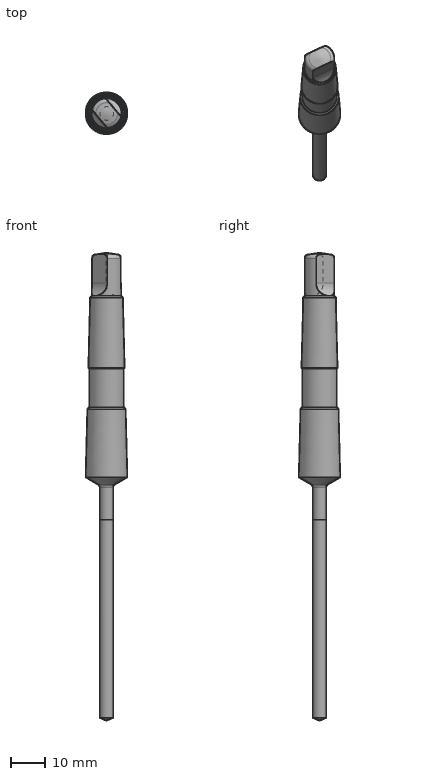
import cadquery as cq
import math

OVERALL_LENGTH = 136.53

DRILL_DIAMETER = 3.97
POINT_ANGLE = 130.0
FLUTE_LENGTH = 58.7

TAPER_RATE = 1 / 20.047
GAUGE_DIAMETER = 12.065
GAUGE_OFFSET = 3.5
SHANK_LENGTH = 65.5
RELIEF_DIAMETER = 10.1
RELIEF_TOP_DEPTH = 33.6
RELIEF_BOTTOM_DEPTH = 45.6
NECK_CONE_ANGLE = 120.0
NECK_FILLET = 1.0

TANG_DIAMETER = 8.7
TANG_LENGTH = 13.1
TANG_THICKNESS = 5.2
TANG_FLAT_LENGTH = 8.8
TANG_RUNOUT_RADIUS = 5.0
TANG_END_RADIUS = 1.2
TANG_END_RISE = 0.5
TANG_DIRECTION = 40.0

drill_radius = DRILL_DIAMETER / 2
shank_bottom = OVERALL_LENGTH - SHANK_LENGTH
tang_bottom = OVERALL_LENGTH - TANG_LENGTH


def taper_radius(z):
    gauge_plane = shank_bottom + GAUGE_OFFSET
    return (GAUGE_DIAMETER - TAPER_RATE * (z - gauge_plane)) / 2


def bevel_height(z, inner_radius):
    """Height of the 45 degree bevel stepping from the taper at z in to a smaller radius."""
    return taper_radius(z) - inner_radius


def make_drill():
    point_height = drill_radius / math.tan(math.radians(POINT_ANGLE / 2))
    outline = (
        cq.Workplane("XZ")
        .lineTo(drill_radius, point_height)
        .lineTo(drill_radius, FLUTE_LENGTH)
        .lineTo(0, FLUTE_LENGTH)
        .close()
    )
    return outline.revolve(360, (0, 0), (0, 1))


def make_shank_blank():
    relief_radius = RELIEF_DIAMETER / 2
    relief_top = OVERALL_LENGTH - RELIEF_TOP_DEPTH
    relief_bottom = OVERALL_LENGTH - RELIEF_BOTTOM_DEPTH

    large_radius = taper_radius(shank_bottom)
    half_angle = math.radians(NECK_CONE_ANGLE / 2)
    cone_foot = shank_bottom - (large_radius - drill_radius) / math.tan(half_angle)
    tangent_length = NECK_FILLET * math.tan(half_angle / 2)
    fillet_bottom = cone_foot - tangent_length
    fillet_center_radius = drill_radius + NECK_FILLET
    fillet_middle = (
        fillet_center_radius - NECK_FILLET * math.cos(half_angle / 2),
        fillet_bottom + NECK_FILLET * math.sin(half_angle / 2),
    )
    fillet_top = (
        fillet_center_radius - NECK_FILLET * math.cos(half_angle),
        fillet_bottom + NECK_FILLET * math.sin(half_angle),
    )

    tang_radius = TANG_DIAMETER / 2
    rim_top = OVERALL_LENGTH - TANG_END_RISE
    rim_bottom = rim_top - TANG_END_RADIUS
    rim_center_radius = tang_radius - TANG_END_RADIUS
    rim_middle = (
        rim_center_radius + TANG_END_RADIUS * math.cos(math.pi / 4),
        rim_bottom + TANG_END_RADIUS * math.sin(math.pi / 4),
    )

    outline = (
        cq.Workplane("XZ")
        .moveTo(0, FLUTE_LENGTH)
        .lineTo(drill_radius, FLUTE_LENGTH)
        .lineTo(drill_radius, fillet_bottom)
        .threePointArc(fillet_middle, fillet_top)
        .lineTo(large_radius, shank_bottom)
        .lineTo(taper_radius(relief_bottom), relief_bottom)
        .lineTo(relief_radius, relief_bottom + bevel_height(relief_bottom, relief_radius))
        .lineTo(relief_radius, relief_top - bevel_height(relief_top, relief_radius))
        .lineTo(taper_radius(relief_top), relief_top)
        .lineTo(taper_radius(tang_bottom), tang_bottom)
        .lineTo(tang_radius, tang_bottom + bevel_height(tang_bottom, tang_radius))
        .lineTo(tang_radius, rim_bottom)
        .threePointArc(rim_middle, (rim_center_radius, rim_top))
        .lineTo(0, OVERALL_LENGTH)
        .close()
    )
    return outline.revolve(360, (0, 0), (0, 1))


def make_tang_cutter():
    """Cutter for one tang flat, ending below in a concave runout."""
    half_thickness = TANG_THICKNESS / 2
    flat_bottom = OVERALL_LENGTH - TANG_FLAT_LENGTH
    runout_end = half_thickness + TANG_RUNOUT_RADIUS
    runout_middle = (
        runout_end - TANG_RUNOUT_RADIUS * math.cos(math.pi / 4),
        flat_bottom - TANG_RUNOUT_RADIUS * math.sin(math.pi / 4),
    )
    return (
        cq.Workplane("XZ")
        .moveTo(half_thickness, OVERALL_LENGTH)
        .lineTo(half_thickness, flat_bottom)
        .threePointArc(runout_middle, (runout_end, flat_bottom - TANG_RUNOUT_RADIUS))
        .lineTo(runout_end, OVERALL_LENGTH)
        .close()
        .extrude(TANG_DIAMETER, both=True)
    )


def make_shank():
    shank = make_shank_blank()
    cutter = make_tang_cutter()
    for turn in (0, 180):
        shank = shank.cut(cutter.rotate((0, 0, 0), (0, 0, 1), TANG_DIRECTION + turn))
    return shank


drill = make_drill()
shank = make_shank()

result = cq.Compound.makeCompound([drill.val(), shank.val()])